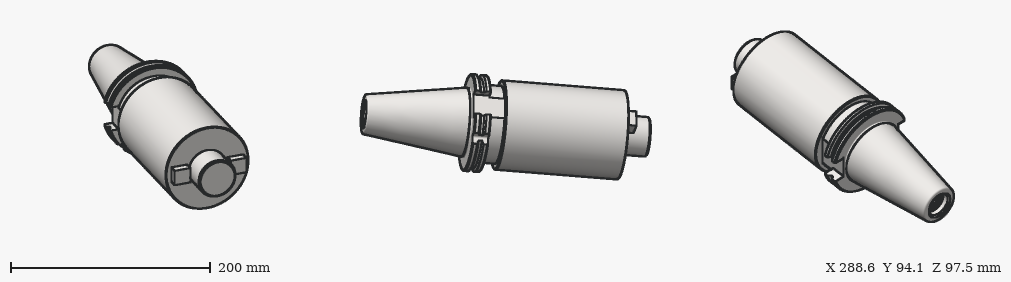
import cadquery as cq
import math


gauge_radius = 69.85 / 2
taper_length = 101.6
taper_half_slope = 7 / 48
taper_small_radius = gauge_radius - taper_length * taper_half_slope
taper_end_rounding = 2.0
taper_end_x = -taper_length

relief_depth = 0.7
relief_fillet = 0.9

flange_radius = 97.5 / 2
flange_front_x = 3.2
flange_back_x = 19.35
flange_chamfer = 1.0
groove_center_x = 11.4
groove_mouth_width = 6.6
groove_bottom_radius = 91.25 / 2
groove_flank_angle = 30.0

neck_radius = 39.25
body_radius = 45.0
body_start_x = 35.0
body_end_x = 160.0
body_chamfer = 0.8
neck_fillet = 0.5

spigot_radius = 20.0
spigot_length = 27.0
spigot_chamfer = 1.5

slot_width = 25.7
slot_floor_plus_y = 35.4
slot_floor_minus_y = 37.7

notch_inner_y = -30.2
notch_inner_z = -30.2
notch_corner_radius = 2.0

key_width = 16.0
key_height = 8.6
key_inner_y = 22.0
key_outer_y = 39.0

bore_mouth_radius = 14.3
bore_guide_radius = 12.5
bore_guide_depth = 8.3
thread_relief_radius = 11.5
thread_relief_end_depth = 11.2
thread_radius = 10.3
thread_lead_half_angle = 45.0
bore_depth = 50.0
drill_point_half_angle = 59.0


def limits_box(x_min, x_max, y_min, y_max, z_min, z_max):
    """Box between the given limits."""
    size = (x_max - x_min, y_max - y_min, z_max - z_min)
    return cq.Workplane("XY").box(*size, centered=False).translate((x_min, y_min, z_min))


def revolve_about_x(profile):
    """Close a half profile and spin it about the part axis."""
    return profile.close().revolve(360, (0, 0, 0), (1, 0, 0))


def make_turned_body():
    flank_run = (flange_radius - groove_bottom_radius) * math.tan(math.radians(groove_flank_angle))
    mouth_half = groove_mouth_width / 2
    bottom_half = mouth_half - flank_run
    relief_radius = gauge_radius - relief_depth
    spigot_end_x = body_end_x + spigot_length
    profile = (
        cq.Workplane("XY")
        .moveTo(taper_end_x, 0)
        .lineTo(taper_end_x, taper_small_radius)
        .lineTo(0, gauge_radius)
        .lineTo(relief_depth, relief_radius)
        .lineTo(flange_front_x - relief_fillet, relief_radius)
        .radiusArc((flange_front_x, relief_radius + relief_fillet), -relief_fillet)
        .lineTo(flange_front_x, flange_radius - flange_chamfer)
        .lineTo(flange_front_x + flange_chamfer, flange_radius)
        .lineTo(groove_center_x - mouth_half, flange_radius)
        .lineTo(groove_center_x - bottom_half, groove_bottom_radius)
        .lineTo(groove_center_x + bottom_half, groove_bottom_radius)
        .lineTo(groove_center_x + mouth_half, flange_radius)
        .lineTo(flange_back_x - flange_chamfer, flange_radius)
        .lineTo(flange_back_x, flange_radius - flange_chamfer)
        .lineTo(flange_back_x, neck_radius)
        .lineTo(body_start_x - neck_fillet, neck_radius)
        .radiusArc((body_start_x, neck_radius + neck_fillet), -neck_fillet)
        .lineTo(body_start_x, body_radius - body_chamfer)
        .lineTo(body_start_x + body_chamfer, body_radius)
        .lineTo(body_end_x - body_chamfer, body_radius)
        .lineTo(body_end_x, body_radius - body_chamfer)
        .lineTo(body_end_x, spigot_radius)
        .lineTo(spigot_end_x - spigot_chamfer, spigot_radius)
        .lineTo(spigot_end_x, spigot_radius - spigot_chamfer)
        .lineTo(spigot_end_x, 0)
    )
    return revolve_about_x(profile).faces("<X").edges().fillet(taper_end_rounding)


def make_pull_stud_bore():
    mouth_chamfer = bore_mouth_radius - bore_guide_radius
    guide_step = bore_guide_radius - thread_relief_radius
    lead_length = (thread_relief_radius - thread_radius) / math.tan(math.radians(thread_lead_half_angle))
    point_length = thread_radius / math.tan(math.radians(drill_point_half_angle))
    guide_end_x = taper_end_x + bore_guide_depth
    relief_end_x = taper_end_x + thread_relief_end_depth
    thread_end_x = taper_end_x + bore_depth
    profile = (
        cq.Workplane("XY")
        .moveTo(taper_end_x, 0)
        .lineTo(taper_end_x, bore_mouth_radius)
        .lineTo(taper_end_x + mouth_chamfer, bore_guide_radius)
        .lineTo(guide_end_x, bore_guide_radius)
        .lineTo(guide_end_x + guide_step, thread_relief_radius)
        .lineTo(relief_end_x, thread_relief_radius)
        .lineTo(relief_end_x + lead_length, thread_radius)
        .lineTo(thread_end_x, thread_radius)
        .lineTo(thread_end_x + point_length, 0)
    )
    return revolve_about_x(profile)


def make_drive_slots():
    half = slot_width / 2
    plus_slot = limits_box(flange_front_x, body_start_x, slot_floor_plus_y, flange_radius, -half, half)
    minus_slot = limits_box(flange_front_x, body_start_x, -flange_radius, -slot_floor_minus_y, -half, half)
    neck_flat = limits_box(
        flange_back_x, body_start_x, slot_floor_plus_y, body_radius, -body_radius, body_radius
    )
    return plus_slot.union(minus_slot).union(neck_flat)


def make_orientation_notch():
    notch = limits_box(
        flange_front_x, flange_back_x, -flange_radius, notch_inner_y, -flange_radius, notch_inner_z
    )
    return notch.edges("|X and >Y and >Z").fillet(notch_corner_radius)


def make_drive_keys():
    half = key_width / 2
    key = limits_box(body_end_x, body_end_x + key_height, key_inner_y, key_outer_y, -half, half)
    return key.union(key.mirror("XZ"))


result = (
    make_turned_body()
    .cut(make_pull_stud_bore())
    .cut(make_drive_slots())
    .cut(make_orientation_notch())
    .union(make_drive_keys())
)